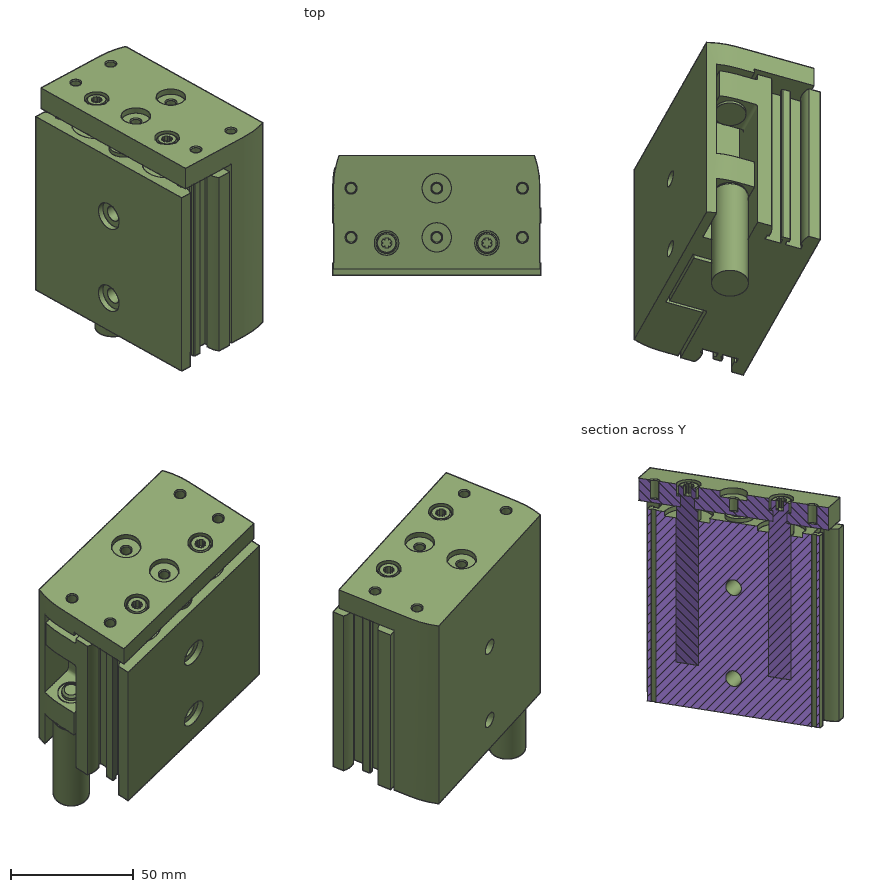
import cadquery as cq
import math


overall_height = 128.5
overall_depth = 49.0

housing_width = 85.0
housing_depth = 27.5
housing_height = 84.5
rail_width = 26.7
back_gap = 1.3
lug_root_radius = back_gap
rail_root_radius = 0.9

table_width = 84.2
table_front_y = 2.6
table_top_z = 97.5
table_bottom_z = 0.3
plate_thickness = 10.0
block_top_z = 85.3
block_front_y = housing_depth + back_gap
wall_thickness = 4.0
wall_y = overall_depth - wall_thickness
back_inset = 2.2
channel_width = 29.8
pocket_wall_x = -25.8
pocket_radius = 1.5
pocket_overrun = 6.4

axis_x = -34.5
axis_y = 36.5
stop_lug_top_z = 81.3
stop_lug_bottom_z = 67.1
lug_clearance = 1.0
stop_lug_back_y = wall_y - lug_clearance
stop_lug_inner_x = pocket_wall_x - lug_clearance
stop_button_diameter = 13.1
stop_button_height = 1.3
absorber_lug_top_z = 34.3
absorber_lug_bottom_z = 19.9

barrel_diameter = 15.0
barrel_bottom_z = table_top_z - overall_height
neck_diameter = 13.9
neck_height = 1.3
thread_diameter = 10.9
thread_recess = 0.5
pin_diameter = 7.7
pin_tip_diameter = 5.7
pin_height = 1.8
pin_cone_height = 0.9

rod_y = 13.2
rod_pitch = 41.0
rod_positions = (-rod_pitch / 2, rod_pitch / 2)
rod_diameter = 10.2
rod_bottom_z = 19.3
shank_diameter = 6.7
seal_recess_diameter = 20.0
seal_recess_depth = 1.9
head_diameter = 8.6
head_chamfer = 0.5
head_recess = 0.5
head_pocket_diameter = 10.0
head_pocket_depth = 5.1
socket_length = 4.1
socket_bar_width = 1.4
socket_bars = 3
socket_depth = 4.1

plug_y = 8.6
plug_diameter = 12.0
plug_height = 1.7
plug_cone_base = 7.7
plug_cone_top = 6.7
plug_cone_height = 0.9

recess_diameter = 12.0
recess_depth = 2.6
front_hole_diameter = 6.7
front_hole_pitch = 40.0
front_hole_low_z = 15.8
front_hole_heights = (front_hole_low_z, front_hole_low_z + front_hole_pitch)
top_thread_diameter = 4.0
top_thread_mouth = 4.9
top_thread_end_z = 89.3
top_hole_pitch = 20.0
top_hole_front_y = 15.5
top_hole_x = 35.0

slot_rib_half = 1.9
slot_outer_half = 7.0
slot_mouth_flare = 1.3
slot_rib_inset = 4.2
slot_lip_depth = 5.9
slot_depth = 8.0
slot_undercut = 0.9
slot_rib_chamfer = 0.4


def box(x0, x1, y0, y1, z0, z1):
    return cq.Workplane("XY").box(x1 - x0, y1 - y0, z1 - z0, centered=False).translate((x0, y0, z0))


def cylinder(diameter, x, y, z0, z1):
    return cq.Workplane("XY", origin=(x, y, z0)).circle(diameter / 2).extrude(z1 - z0)


def cone(base_diameter, top_diameter, x, y, z0, z1):
    solid = cq.Solid.makeCone(base_diameter / 2, top_diameter / 2, z1 - z0, pnt=cq.Vector(x, y, z0))
    return cq.Workplane(obj=solid)


def front_cylinder(diameter, z, y0, y1):
    """Cylinder along Y on the middle plane."""
    return cq.Workplane("XZ", origin=(0, y0, 0)).center(0, z).circle(diameter / 2).extrude(y0 - y1)


corner_length = overall_depth - axis_y
corner_radius = (corner_length ** 2 + back_inset ** 2) / (2 * back_inset)


def inset_at(y):
    """How far the rounded side has come in at the depth y."""
    return corner_radius - math.sqrt(corner_radius ** 2 - (y - axis_y) ** 2)



def slot_cutter():
    """Both sensor slots of the -X side: recessed rib between two undercut grooves."""
    side_x = -housing_width / 2
    rib_face_x = side_x + slot_rib_inset
    mouth_half = slot_outer_half + slot_mouth_flare
    mouth_radius = (slot_rib_inset ** 2 + slot_mouth_flare ** 2) / (2 * slot_mouth_flare)
    cutter = (
        cq.Workplane("XY")
        .moveTo(side_x, rod_y - mouth_half)
        .radiusArc((rib_face_x, rod_y - slot_outer_half), mouth_radius)
        .lineTo(rib_face_x, rod_y + slot_outer_half)
        .radiusArc((side_x, rod_y + mouth_half), mouth_radius)
        .close()
        .extrude(housing_height)
    )
    for side in (-1, 1):
        near = rod_y + side * slot_rib_half
        far = rod_y + side * slot_outer_half
        y0, y1 = min(near, far), max(near, far)
        rib_edge = (
            cq.Workplane("XY")
            .moveTo(rib_face_x, near - side * slot_rib_chamfer)
            .lineTo(rib_face_x + slot_rib_chamfer, near)
            .lineTo(rib_face_x, near)
            .close()
            .extrude(housing_height)
        )
        cutter = cutter.union(rib_edge)
        cutter = cutter.union(box(rib_face_x, side_x + slot_depth, y0, y1, 0, housing_height))
        cutter = cutter.union(box(side_x + slot_lip_depth, side_x + slot_depth,
                                  y0 - slot_undercut, y1 + slot_undercut, 0, housing_height))
    return cutter


def guide_rail():
    """Rail on the housing back with a fillet along each side of its root."""
    half = rail_width / 2
    return (
        cq.Workplane("XY")
        .moveTo(-half - rail_root_radius, housing_depth)
        .radiusArc((-half, housing_depth + rail_root_radius), -rail_root_radius)
        .lineTo(-half, stop_lug_back_y)
        .lineTo(half, stop_lug_back_y)
        .lineTo(half, housing_depth + rail_root_radius)
        .radiusArc((half + rail_root_radius, housing_depth), -rail_root_radius)
        .close()
        .extrude(housing_height)
    )


def stop_lug():
    """Lug on the housing back with filleted root, rounded side and a stop button below."""
    side_x = -housing_width / 2
    profile = (
        cq.Workplane("YZ", origin=(side_x, 0, 0))
        .moveTo(housing_depth, stop_lug_bottom_z - lug_root_radius)
        .radiusArc((housing_depth + lug_root_radius, stop_lug_bottom_z), lug_root_radius)
        .lineTo(stop_lug_back_y, stop_lug_bottom_z)
        .lineTo(stop_lug_back_y, stop_lug_top_z)
        .lineTo(housing_depth + lug_root_radius, stop_lug_top_z)
        .radiusArc((housing_depth, stop_lug_top_z + lug_root_radius), lug_root_radius)
        .close()
        .extrude(stop_lug_inner_x - side_x)
    )
    plan = (
        cq.Workplane("XY")
        .moveTo(stop_lug_inner_x, 0)
        .lineTo(side_x, 0)
        .lineTo(side_x, axis_y)
        .radiusArc((side_x + inset_at(stop_lug_back_y), stop_lug_back_y), corner_radius)
        .lineTo(stop_lug_inner_x, stop_lug_back_y)
        .close()
        .extrude(housing_height)
    )
    button = cylinder(stop_button_diameter, axis_x, axis_y,
                      stop_lug_bottom_z - stop_button_height, stop_lug_bottom_z)
    return profile.intersect(plan).union(button)


def make_housing():
    half = housing_width / 2
    body = box(-half, half, 0, housing_depth, 0, housing_height)
    slots = slot_cutter()
    body = body.cut(slots).cut(slots.mirror("YZ"))
    body = body.union(guide_rail()).union(stop_lug())
    for x in rod_positions:
        body = body.cut(cylinder(rod_diameter, x, rod_y, rod_bottom_z, housing_height))
        body = body.cut(cylinder(seal_recess_diameter, x, rod_y,
                                 housing_height - seal_recess_depth, housing_height))
    for z in front_hole_heights:
        body = body.cut(front_cylinder(front_hole_diameter, z, 0, stop_lug_back_y))
        body = body.cut(front_cylinder(recess_diameter, z, 0, recess_depth))
    return body



def table_blank():
    """L-shaped blank: top plate and guide block with rounded back corners."""
    half = table_width / 2
    back_half = half - back_inset
    plan = (
        cq.Workplane("XY", origin=(0, 0, table_bottom_z))
        .moveTo(-half, table_front_y)
        .lineTo(-half, axis_y)
        .radiusArc((-back_half, overall_depth), corner_radius)
        .lineTo(back_half, overall_depth)
        .radiusArc((half, axis_y), corner_radius)
        .lineTo(half, table_front_y)
        .close()
        .extrude(table_top_z - table_bottom_z)
    )
    housing_space = box(-half, half, table_front_y, block_front_y,
                        table_bottom_z, table_top_z - plate_thickness)
    return plan.cut(housing_space)


def block_opening(x0, x1, z0, z1):
    """Opening in the guide block, open to the front, with rounds along Y."""
    return box(x0, x1, block_front_y, wall_y, z0, z1).edges("|Y").fillet(pocket_radius)


def top_thread(x, y, z):
    """Blind threaded hole in the top plate whose mouth at height z is chamfered."""
    depth = (top_thread_mouth - top_thread_diameter) / 2
    hole = cylinder(top_thread_diameter, x, y, top_thread_end_z, z)
    return hole.union(cone(top_thread_diameter, top_thread_mouth, x, y, z - depth, z))


def make_table():
    body = table_blank()
    low_z = table_bottom_z - pocket_overrun
    outer_x = -table_width / 2 - pocket_overrun
    half_channel = channel_width / 2
    body = body.cut(block_opening(-half_channel, half_channel, low_z, block_top_z))
    body = body.cut(block_opening(outer_x, pocket_wall_x, absorber_lug_top_z, block_top_z))
    body = body.cut(block_opening(outer_x, pocket_wall_x, low_z, absorber_lug_bottom_z))
    body = body.cut(cylinder(thread_diameter, axis_x, axis_y, absorber_lug_bottom_z, absorber_lug_top_z))
    for z in front_hole_heights:
        body = body.cut(front_cylinder(front_hole_diameter, z, block_front_y, overall_depth))
    for y in (top_hole_front_y, top_hole_front_y + top_hole_pitch):
        for x in (-top_hole_x, top_hole_x):
            body = body.cut(top_thread(x, y, table_top_z))
        body = body.cut(cylinder(recess_diameter, 0, y, table_top_z - recess_depth, table_top_z))
        body = body.cut(top_thread(0, y, table_top_z - recess_depth))
    for x in rod_positions:
        body = body.cut(cylinder(shank_diameter, x, rod_y, block_top_z, table_top_z))
        body = body.cut(cylinder(head_pocket_diameter, x, rod_y,
                                 table_top_z - head_pocket_depth, table_top_z))
    return body



def make_absorber():
    shoulder_z = absorber_lug_bottom_z - neck_height
    thread_top_z = absorber_lug_top_z - thread_recess
    tip_z = absorber_lug_top_z + pin_height
    cone_z = tip_z - pin_cone_height
    body = cylinder(barrel_diameter, axis_x, axis_y, barrel_bottom_z, shoulder_z)
    body = body.union(cylinder(neck_diameter, axis_x, axis_y, shoulder_z, absorber_lug_bottom_z))
    body = body.union(cylinder(thread_diameter, axis_x, axis_y, absorber_lug_bottom_z, thread_top_z))
    body = body.union(cylinder(pin_diameter, axis_x, axis_y, thread_top_z, cone_z))
    return body.union(cone(pin_diameter, pin_tip_diameter, axis_x, axis_y, cone_z, tip_z))



def star_socket(x, z):
    """Six-lobed socket of crossed bars whose top is at height z."""
    top = cq.Workplane("XY", origin=(x, rod_y, z))
    socket = cq.Workplane("XY")
    for i in range(socket_bars):
        bar = (
            top.transformed(rotate=(0, 0, 90 + i * 180 / socket_bars))
            .rect(socket_length, socket_bar_width)
            .extrude(-socket_depth)
        )
        socket = socket.union(bar)
    return socket


def make_piston_rod(x):
    """Rod up to the top plate, with the shank and head of its screw."""
    plate_z = table_top_z - plate_thickness
    seat_z = table_top_z - head_pocket_depth
    head_z = table_top_z - head_recess
    rod = cylinder(rod_diameter, x, rod_y, rod_bottom_z, plate_z)
    rod = rod.union(cylinder(shank_diameter, x, rod_y, plate_z, seat_z))
    head = cylinder(head_diameter, x, rod_y, seat_z, head_z).faces(">Z").chamfer(head_chamfer)
    return rod.union(head).cut(star_socket(x, head_z))



def make_plug():
    flange_z = housing_height + plug_height
    flange = cylinder(plug_diameter, 0, plug_y, housing_height, flange_z)
    return flange.union(cone(plug_cone_base, plug_cone_top, 0, plug_y, flange_z, flange_z + plug_cone_height))


housing = make_housing()
table = make_table()
absorber = make_absorber()
plug = make_plug()
piston_rods = [make_piston_rod(x) for x in rod_positions]

result = cq.Compound.makeCompound(
    [housing.val(), table.val(), absorber.val(), plug.val(), *[rod.val() for rod in piston_rods]]
)